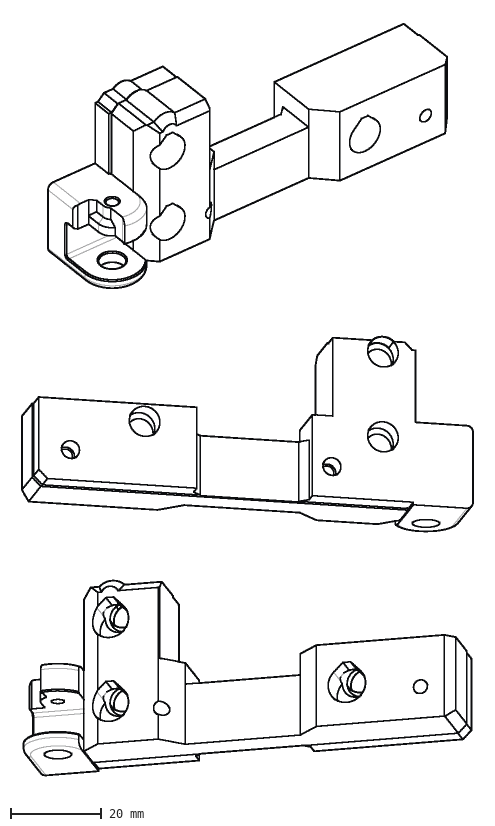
import cadquery as cq
import math

length = 98.6
width = 21.1
height = 38.7
overshoot = 1.0

body_width = 17.5
neck_left = 5.1
neck_right = 12.6
neck_front = 36.4
neck_rear = 62.5
neck_web = 2.0
shoulder = body_width - neck_right
rear_corner = 2.1

body_bottom = 0.3
block_top = 19.2
neck_top = 14.3
tower_front = 13.5
tower_rear = 31.7
tower_top = 37.6
tower_chamfer = 2.0
tower_bevel = 4.1
rear_bottom_chamfer = 2.0

layer_depth = 5.0
layer_inset = 0.3
layer_front_step = 0.5

layer_hole_diameter = 6.9
hole_diameter = 6.1
hole_z = 15.2
tower_hole_y = 20.4
tower_hole_z = 34.7
rear_hole_y = 74.3
slant_start_drop = 1.2
exit_drop = 5.6
exit_radius = 4.2
exit_peak = 5.1
exit_start = 9.4
layer_small_hole_diameter = 4.0
small_hole_diameter = 3.2
small_hole_z = 7.6
small_hole_ys = (31.9, 91.1)
boss_radius = height - tower_hole_z
boss_layer_inset = 0.5

lug_radius = 7.6
lug_top = 19.0
lug_edge_fillet = 1.5
pin_x = width - lug_radius
pin_y = lug_radius
slot_left = 6.5
slot_bottom = 2.9
slot_top = 12.3
slot_corner = 0.8
slot_edge_chamfer = 0.3
pin_diameter = 2.9
foot_hole_diameter = 6.0
mouth_chamfer = 0.3

notch_left = 10.0
notch_rear = 5.8
notch_entry_chamfer = 0.8
notch_tip_x = 19.6
notch_tip_bend = 0.4
pin_wall_radius = 2.6
pin_skirt_radius = 3.8
skirt_top = 14.6
pin_wall_bevel = 1.2
cone_top = skirt_top + pin_skirt_radius - pin_wall_radius


def box(x0, x1, y0, y1, z0, z1):
    return cq.Workplane("XY").box(x1 - x0, y1 - y0, z1 - z0, centered=False).translate((x0, y0, z0))


def x_cylinder(x0, x1, radius, y, z):
    return cq.Workplane(cq.Solid.makeCylinder(radius, x1 - x0, cq.Vector(x0, y, z), cq.Vector(1, 0, 0)))


def x_cone(x0, x1, radius0, radius1, y, z):
    return cq.Workplane(cq.Solid.makeCone(radius0, radius1, x1 - x0, cq.Vector(x0, y, z), cq.Vector(1, 0, 0)))


def pin_cylinder(z0, z1, radius):
    """Upright cylinder on the pin axis."""
    return cq.Workplane(cq.Solid.makeCylinder(radius, z1 - z0, cq.Vector(pin_x, pin_y, z0)))


def pin_cone(z0, z1, radius0, radius1):
    """Upright cone on the pin axis."""
    return cq.Workplane(cq.Solid.makeCone(radius0, radius1, z1 - z0, cq.Vector(pin_x, pin_y, z0)))


def side_outline(inset):
    """YZ outline of the body, pulled in by inset at the bottom, rear end and tower top."""
    bottom = body_bottom + inset
    rear = length - inset
    top = tower_top - inset
    shelf_z = tower_top - tower_chamfer
    return [
        (rear - rear_bottom_chamfer, bottom),
        (rear, bottom + rear_bottom_chamfer),
        (rear, block_top),
        (neck_rear, block_top),
        (neck_rear, neck_top),
        (neck_front, neck_top),
        (neck_front, block_top),
        (tower_rear, block_top),
        (tower_rear, top),
        (tower_front + inset + top - shelf_z, top),
        (tower_front + inset, shelf_z),
        (tower_front + inset, bottom),
    ]


def body_plan():
    """Prism of the body's XY outline."""
    return (
        cq.Workplane("XY")
        .polyline([
            (0, 0),
            (body_width - tower_bevel, 0),
            (body_width - tower_bevel, tower_front),
            (body_width, tower_front + tower_bevel),
            (body_width, neck_front - shoulder),
            (neck_right, neck_front),
            (neck_right, neck_rear),
            (body_width, neck_rear + shoulder),
            (body_width, length - rear_corner),
            (body_width - rear_corner, length),
            (0, length),
            (0, neck_rear),
            (neck_left - neck_web, neck_rear),
            (neck_left, neck_rear - neck_web),
            (neck_left, neck_front + neck_web),
            (neck_left - neck_web, neck_front),
            (0, neck_front),
        ])
        .close()
        .extrude(height)
    )


def body():
    main_start = layer_depth + layer_inset
    small = side_outline(layer_inset)
    full = side_outline(0)
    layer = cq.Workplane("YZ").polyline(small).close().extrude(layer_depth)
    step = (
        cq.Workplane("YZ", origin=(layer_depth, 0, 0))
        .polyline(small).close()
        .workplane(offset=layer_inset)
        .polyline(full).close()
        .loft(ruled=True)
    )
    main = cq.Workplane("YZ", origin=(main_start, 0, 0)).polyline(full).close().extrude(body_width - main_start)
    front_step = box(
        0, layer_depth,
        tower_front - layer_front_step, tower_front + layer_inset,
        body_bottom + layer_inset, tower_top - tower_chamfer,
    )
    edge_cut = (
        cq.Workplane("XZ")
        .polyline([
            (body_width, tower_top - tower_chamfer),
            (body_width, tower_top),
            (body_width - tower_chamfer, tower_top),
        ])
        .close()
        .extrude(-length)
    )
    return layer.union(step).union(main).union(front_step).intersect(body_plan()).cut(edge_cut)


def tower_boss():
    """Round rib along the top of the tower, over the upper hole."""
    main_start = layer_depth + layer_inset
    chamfer_start = body_width - tower_chamfer
    small = boss_radius - boss_layer_inset
    tip = boss_radius - tower_chamfer
    y, z = tower_hole_y, tower_hole_z
    return (
        x_cylinder(0, layer_depth, small, y, z)
        .union(x_cone(layer_depth, main_start, small, boss_radius, y, z))
        .union(x_cylinder(main_start, chamfer_start, boss_radius, y, z))
        .union(x_cone(chamfer_start, body_width, boss_radius, tip, y, z))
    )


def lug_blank():
    """Lug with a round end centred on the pin, rounded along its top and bottom edges."""
    tip_x = pin_x + math.sqrt(lug_radius**2 - (tower_front - pin_y) ** 2)
    return (
        cq.Workplane("XY")
        .lineTo(pin_x, 0)
        .radiusArc((width, pin_y), -lug_radius)
        .radiusArc((tip_x, tower_front), -lug_radius)
        .lineTo(0, tower_front)
        .close()
        .extrude(lug_top)
        .edges(cq.selectors.NearestToPointSelector((pin_x / 2, 0, 0)))
        .fillet(lug_edge_fillet)
        .edges(cq.selectors.NearestToPointSelector((pin_x / 2, 0, lug_top)))
        .fillet(lug_edge_fillet)
    )


def lug_slot():
    """Slot between the upper plate and the foot, open to -Y and +X."""
    return (
        box(slot_left, width + overshoot, -overshoot, tower_front, slot_bottom, slot_top)
        .edges("|Y and <X")
        .fillet(slot_corner)
    )


def pin_wall():
    """Stepped wall beside and around the pin: skirt, 45 degree slope and slimmer upper part."""
    wall_y = pin_y - pin_wall_radius
    straight = (
        cq.Workplane("YZ", origin=(notch_left - overshoot, 0, 0))
        .polyline([
            (pin_y, slot_top),
            (pin_y - pin_skirt_radius, slot_top),
            (pin_y - pin_skirt_radius, skirt_top),
            (wall_y, cone_top),
            (wall_y, lug_top),
            (pin_y, lug_top),
        ])
        .close()
        .extrude(pin_x - notch_left + overshoot)
    )
    bevel = (
        cq.Workplane("XY", origin=(0, 0, skirt_top))
        .polyline([
            (notch_left, wall_y),
            (notch_left, wall_y - pin_wall_bevel),
            (notch_left + pin_wall_bevel, wall_y),
        ])
        .close()
        .extrude(lug_top - skirt_top)
    )
    skirt = pin_cylinder(slot_top, skirt_top, pin_skirt_radius)
    slope = pin_cone(skirt_top, cone_top, pin_skirt_radius, pin_wall_radius)
    upper = pin_cylinder(cone_top, lug_top, pin_wall_radius)
    return straight.union(bevel).union(skirt).union(slope).union(upper)


def lug_notch():
    """Space cut from the -Y side of the upper plate, with a bevelled -X mouth."""
    space = (
        cq.Workplane("XY", origin=(0, 0, slot_top - overshoot))
        .polyline([
            (notch_left - notch_entry_chamfer - overshoot, -overshoot),
            (notch_left, notch_entry_chamfer),
            (notch_left, notch_rear),
            (notch_tip_x, notch_rear),
            (width, notch_rear - notch_tip_bend),
            (width + overshoot, notch_rear - notch_tip_bend),
            (width + overshoot, -overshoot),
        ])
        .close()
        .extrude(lug_top - slot_top + 2 * overshoot)
    )
    return space.cut(pin_wall())


def pin_holes():
    """Pin hole in the upper plate and the larger hole in the foot, both with bevelled mouths."""
    pin = pin_diameter / 2
    foot = foot_hole_diameter / 2
    return (
        pin_cylinder(slot_top, lug_top, pin)
        .union(pin_cone(lug_top - mouth_chamfer, lug_top, pin, pin + mouth_chamfer))
        .union(pin_cylinder(0, slot_bottom, foot))
        .union(pin_cone(slot_bottom - mouth_chamfer, slot_bottom, foot, foot + mouth_chamfer))
    )


def lug():
    slot_edge = cq.selectors.NearestToPointSelector(((slot_left + pin_x) / 2, 0, slot_bottom))
    slotted = lug_blank().cut(lug_slot()).edges(slot_edge).chamfer(slot_edge_chamfer)
    return slotted.cut(lug_notch()).cut(pin_holes())


def small_cross_hole(y):
    """Small hole along X, wider through the -X layer."""
    wide = layer_small_hole_diameter / 2
    bore = small_hole_diameter / 2
    return (
        x_cylinder(0, layer_depth, wide, y, small_hole_z)
        .union(x_cylinder(layer_depth, body_width, bore, y, small_hole_z))
    )


def teardrop(x0, x1, radius, peak, y, z):
    """Bore along X whose round section rises in 45 degree sides to a flat peak."""
    tangent = radius * math.sqrt(0.5)
    flat = 2 * tangent - peak
    return (
        cq.Workplane("YZ", origin=(x0, y, z))
        .moveTo(-tangent, tangent)
        .threePointArc((0, -radius), (tangent, tangent))
        .lineTo(flat, peak)
        .lineTo(-flat, peak)
        .close()
        .extrude(x1 - x0)
    )


def stepped_cross_hole(y, z):
    """Hole level through the -X layer, slanting down, and leaving level as a teardrop."""
    bore = hole_diameter / 2
    exit_z = z - exit_drop
    start = cq.Vector(layer_depth, y, z - slant_start_drop)
    run = cq.Vector(body_width, y, exit_z) - start
    slant_room = box(layer_depth, body_width, y - hole_diameter, y + hole_diameter, 0, height)
    slant = cq.Workplane(cq.Solid.makeCylinder(bore, 3 * run.Length, start - run, run))
    return (
        x_cylinder(0, layer_depth, layer_hole_diameter / 2, y, z)
        .union(slant.intersect(slant_room))
        .union(teardrop(exit_start, body_width, exit_radius, exit_peak, y, exit_z))
    )


result = body().union(tower_boss()).union(lug())
for hole_y in small_hole_ys:
    result = result.cut(small_cross_hole(hole_y))
for hole_y, entry_z in [(tower_hole_y, hole_z), (tower_hole_y, tower_hole_z), (rear_hole_y, hole_z)]:
    result = result.cut(stepped_cross_hole(hole_y, entry_z))